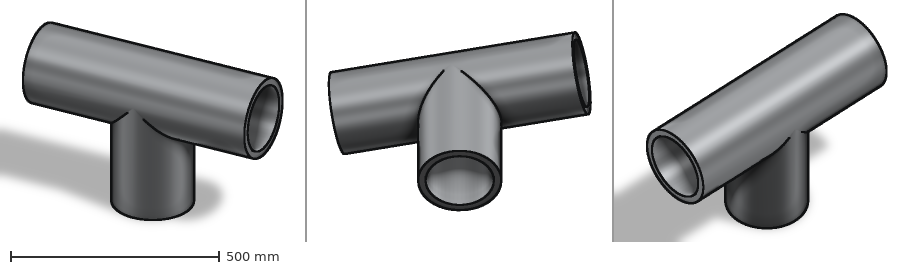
import cadquery as cq

run_length = 600.0
outer_diameter = run_length / 3
bore_diameter = 164.0
branch_length = 2 * run_length / 3 - outer_diameter / 2


def run_cylinder(diameter):
    """Cylinder along X, centred on the origin."""
    return cq.Workplane("YZ").circle(diameter / 2).extrude(run_length / 2, both=True)


def branch_cylinder(diameter):
    """Cylinder from the run axis down to the open end of the branch."""
    return cq.Workplane("XY").circle(diameter / 2).extrude(-branch_length)


def tee(diameter):
    """Run and branch of one diameter, joined."""
    return run_cylinder(diameter).union(branch_cylinder(diameter))


result = tee(outer_diameter).cut(tee(bore_diameter))